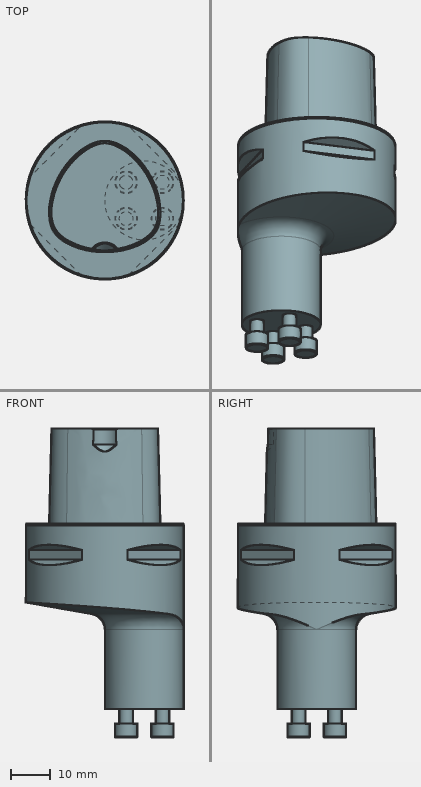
import cadquery as cq
import math


diagonal_angle = 45.0

shank_height = 24.0
shank_base_radius = 14.1
taper = 1 / 20
lobe_height = 1.0
lobe_count = 3
lobe_angle = 90.0
points_per_arc = 9

notch_radius = 3.6
notch_axis_y = -14.5
notch_depth = 4.1
notch_cone_angle = 45.0
notch_chamfer = 0.25

flange_radius = 20.0
flange_chamfer_height = 0.5
flange_chamfer_width = 0.2

groove_count = 4
groove_z = -8.0
groove_floor_distance = 17.6
groove_floor_width = 2.4
groove_flank_angle = 30.0
groove_clearance = 1.0

boss_x = 10.0
boss_radius = 10.0
boss_bottom = -47.0
boss_fillet = 4.0
underside_angle = 10.0
underside_rim_z = -20.0

underside_slope = math.radians(underside_angle)
underside_rim_r = boss_x + flange_radius
fillet_end_r = boss_radius + boss_fillet * (1 - math.sin(underside_slope))
fillet_end_z = underside_rim_z - (underside_rim_r - fillet_end_r) * math.tan(underside_slope)
boss_top = fillet_end_z - boss_fillet * math.cos(underside_slope)

screw_count = 4
screw_circle_radius = 6.5
screw_shaft_diameter = 3.5
screw_shaft_length = 3.7
screw_head_diameter = 5.7
screw_head_height = 3.5
screw_head_chamfer = 0.2


def lobe_point(mean_radius, normal_angle, z):
    """Point of the lobed outline whose outward normal has the given angle."""
    normal = math.radians(normal_angle)
    phase = lobe_count * math.radians(normal_angle - lobe_angle)
    reach = mean_radius + lobe_height * math.cos(phase)
    shift = -lobe_count * lobe_height * math.sin(phase)
    x = reach * math.cos(normal) - shift * math.sin(normal)
    y = reach * math.sin(normal) + shift * math.cos(normal)
    return cq.Vector(x, y, z)


def lobed_wire(mean_radius, z):
    """Closed outline of alternating lobes and flatter flanks, joined tangentially."""
    arc_span = 180.0 / lobe_count
    edges = []
    for arc in range(2 * lobe_count):
        start = lobe_angle + (arc - 0.5) * arc_span
        angles = [start + arc_span * i / (points_per_arc - 1) for i in range(points_per_arc)]
        points = [lobe_point(mean_radius, angle, z) for angle in angles]
        ends = [math.radians(angle + 90) for angle in (angles[0], angles[-1])]
        tangents = [cq.Vector(math.cos(end), math.sin(end), 0) for end in ends]
        edges.append(cq.Edge.makeSpline(points, tangents=tangents))
    return cq.Wire.assembleEdges(edges)


def make_shank():
    top_radius = shank_base_radius - shank_height * taper / 2
    base = lobed_wire(shank_base_radius, 0)
    top = lobed_wire(top_radius, shank_height)
    return cq.Workplane(cq.Solid.makeLoft([base, top], True))


def make_notch_cutter():
    cone_start = shank_height - notch_depth
    cone_tip = cone_start - notch_radius * math.tan(math.radians(notch_cone_angle))
    return (
        cq.Workplane("XZ")
        .moveTo(0, cone_tip)
        .lineTo(notch_radius, cone_start)
        .lineTo(notch_radius, shank_height - notch_chamfer)
        .lineTo(notch_radius + notch_chamfer, shank_height)
        .lineTo(0, shank_height)
        .close()
        .revolve()
        .translate((0, notch_axis_y, 0))
    )


def make_flange():
    """Flange with its sloping underside and the fillet flaring out of the boss."""
    fillet_mid_angle = 3 * math.pi / 4 + underside_slope / 2
    fillet_mid_r = boss_radius + boss_fillet * (1 + math.cos(fillet_mid_angle))
    fillet_mid_z = boss_top + boss_fillet * math.sin(fillet_mid_angle)
    cone = (
        cq.Workplane("XZ")
        .moveTo(0, boss_top)
        .lineTo(boss_radius, boss_top)
        .threePointArc((fillet_mid_r, fillet_mid_z), (fillet_end_r, fillet_end_z))
        .lineTo(underside_rim_r, underside_rim_z)
        .lineTo(underside_rim_r, 0)
        .lineTo(0, 0)
        .close()
        .revolve()
        .translate((boss_x, 0, 0))
    )
    cylinder = (
        cq.Workplane("XY")
        .circle(flange_radius)
        .extrude(boss_top)
        .faces(">Z")
        .chamfer(flange_chamfer_height, flange_chamfer_width)
    )
    return cylinder.intersect(cone)


def make_groove_cutter(angle):
    """Straight groove with a flat floor and sloping flanks, facing the given direction."""
    floor_half = groove_floor_width / 2
    outer = flange_radius + groove_clearance
    outer_half = floor_half + (outer - groove_floor_distance) * math.tan(math.radians(groove_flank_angle))
    return (
        cq.Workplane("XZ")
        .moveTo(groove_floor_distance, groove_z - floor_half)
        .lineTo(outer, groove_z - outer_half)
        .lineTo(outer, groove_z + outer_half)
        .lineTo(groove_floor_distance, groove_z + floor_half)
        .close()
        .extrude(flange_radius, both=True)
        .rotate((0, 0, 0), (0, 0, 1), angle)
    )


def make_boss():
    return (
        cq.Workplane("XY", origin=(boss_x, 0, boss_bottom))
        .circle(boss_radius)
        .extrude(boss_top - boss_bottom)
    )


def make_screw(angle):
    x = boss_x + screw_circle_radius * math.cos(math.radians(angle))
    y = screw_circle_radius * math.sin(math.radians(angle))
    head_top = boss_bottom - screw_shaft_length
    shaft = (
        cq.Workplane("XY", origin=(x, y, boss_bottom))
        .circle(screw_shaft_diameter / 2)
        .extrude(-screw_shaft_length)
    )
    head = (
        cq.Workplane("XY", origin=(x, y, head_top))
        .circle(screw_head_diameter / 2)
        .extrude(-screw_head_height)
        .faces("<Z")
        .chamfer(screw_head_chamfer)
    )
    return shaft.union(head)


def spread(count):
    """Evenly spaced directions, starting on the diagonal."""
    return [diagonal_angle + 360.0 * i / count for i in range(count)]


flange = make_flange()
for direction in spread(groove_count):
    flange = flange.cut(make_groove_cutter(direction))

result = flange.union(make_shank().cut(make_notch_cutter())).union(make_boss())
for direction in spread(screw_count):
    result = result.union(make_screw(direction))